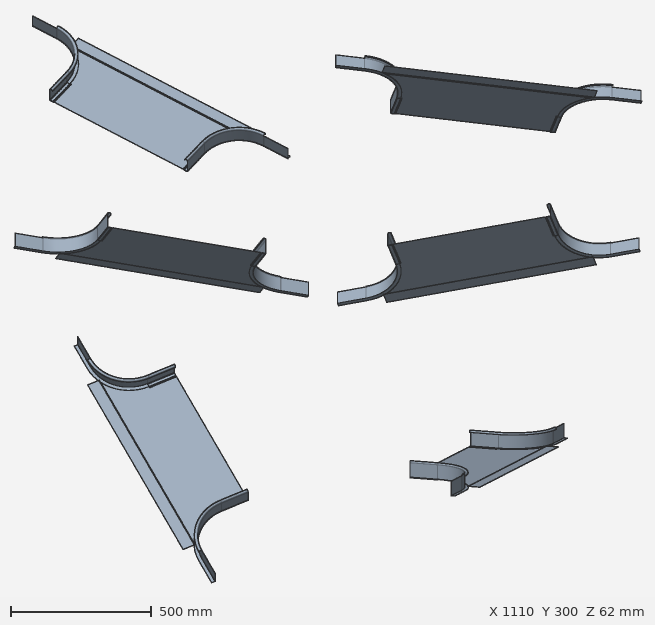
import cadquery as cq

TOTAL_LENGTH = 1110.0
TOTAL_DEPTH = 300.0
TOTAL_HEIGHT = 62.0
SHEET = 1.3
ARM_LENGTH = 105.0
BEND_RADIUS = 150.0
FLANGE_WIDTH = 14.0
LIP_RADIUS = 7.0
LIP_TAIL = 1.0
TONGUE_LENGTH = 771.0
STEP_RISE = 2.0
STEP_RUN = 3.0
RECESS_INSET = 2.0
RECESS_CLEARANCE = 2.0

FLOOR_Z = STEP_RISE
TONGUE_Z = FLOOR_Z + STEP_RISE
WALL_TOP = TOTAL_HEIGHT - LIP_RADIUS

RAIL_END_X = -TOTAL_LENGTH / 2
BEND_X = RAIL_END_X + ARM_LENGTH
FRONT_WALL_X = BEND_X + BEND_RADIUS
BACK_WALL_Y = ARM_LENGTH + BEND_RADIUS

FLANGE_EDGE_X = FRONT_WALL_X + FLANGE_WIDTH
FLANGE_EDGE_RADIUS = BEND_RADIUS + FLANGE_WIDTH
RECESS_SLOPE_X = FLANGE_EDGE_X + RECESS_CLEARANCE
FLOOR_EDGE_X = RECESS_SLOPE_X + STEP_RUN


def bend_path():
    """Foot of the left rail's outer wall face along its front arm and bend."""
    diagonal = BEND_RADIUS * 0.5**0.5
    return (
        cq.Workplane("XY")
        .moveTo(FRONT_WALL_X, 0)
        .lineTo(FRONT_WALL_X, ARM_LENGTH)
        .threePointArc((BEND_X + diagonal, ARM_LENGTH + diagonal), (BEND_X, BACK_WALL_Y))
    )


def rail_web():
    """Wall with an inward bottom flange, along the whole left rail."""
    wall_height = WALL_TOP - FLOOR_Z
    return (
        cq.Workplane("XZ", origin=(FRONT_WALL_X, 0, FLOOR_Z))
        .lineTo(FLANGE_WIDTH, 0)
        .lineTo(FLANGE_WIDTH, SHEET)
        .lineTo(SHEET, SHEET)
        .lineTo(SHEET, wall_height)
        .lineTo(0, wall_height)
        .close()
        .sweep(bend_path().lineTo(RAIL_END_X, BACK_WALL_Y))
    )


def rail_lip():
    """Half-round lip rolled inward over the wall, along the front arm and the bend."""
    width = 2 * LIP_RADIUS
    return (
        cq.Workplane("XZ", origin=(FRONT_WALL_X, 0, WALL_TOP))
        .threePointArc((LIP_RADIUS, LIP_RADIUS), (width, 0))
        .lineTo(width, -LIP_TAIL)
        .lineTo(width - SHEET, -LIP_TAIL)
        .lineTo(width - SHEET, 0)
        .threePointArc((LIP_RADIUS, LIP_RADIUS - SHEET), (SHEET, 0))
        .close()
        .sweep(bend_path())
    )


def side_rail(side):
    """Curved side rail: the left one for side -1, its mirror image for side 1."""
    rail = rail_web().union(rail_lip())
    return rail if side < 0 else rail.mirror("YZ")


def floor_with_tongue():
    """Floor sheet that steps up to the tongue along its back edge."""
    step_y = BACK_WALL_Y - STEP_RUN
    return (
        cq.Workplane("YZ", origin=(-TONGUE_LENGTH / 2, 0, 0))
        .moveTo(0, FLOOR_Z)
        .lineTo(step_y, FLOOR_Z)
        .lineTo(BACK_WALL_Y, TONGUE_Z)
        .lineTo(TOTAL_DEPTH, TONGUE_Z)
        .lineTo(TOTAL_DEPTH, TONGUE_Z + SHEET)
        .lineTo(BACK_WALL_Y, TONGUE_Z + SHEET)
        .lineTo(step_y, FLOOR_Z + SHEET)
        .lineTo(0, FLOOR_Z + SHEET)
        .close()
        .extrude(TONGUE_LENGTH)
    )


def left_rail_room():
    """Space the left rail takes out of the floor sheet, below the tongue."""
    front_arm = cq.Workplane("XY").box(
        FLOOR_EDGE_X - RAIL_END_X, ARM_LENGTH, TONGUE_Z, centered=False
    )
    bend = cq.Workplane("XY").circle(FLANGE_EDGE_RADIUS).extrude(TONGUE_Z)
    return front_arm.translate((RAIL_END_X, 0, 0)).union(bend.translate((BEND_X, ARM_LENGTH, 0)))


def left_recess():
    """Strip that steps down from the floor to pass under the left front flange."""
    free_edge_x = FRONT_WALL_X + RECESS_INSET
    return (
        cq.Workplane("XZ")
        .moveTo(free_edge_x, 0)
        .lineTo(RECESS_SLOPE_X, 0)
        .lineTo(FLOOR_EDGE_X, FLOOR_Z)
        .lineTo(FLOOR_EDGE_X, FLOOR_Z + SHEET)
        .lineTo(RECESS_SLOPE_X, SHEET)
        .lineTo(free_edge_x, SHEET)
        .close()
        .extrude(-ARM_LENGTH)
    )


def floor_sheet():
    """Floor with its tongue, fitted between the two rails."""
    room = left_rail_room()
    recess = left_recess()
    sheet = floor_with_tongue().cut(room).cut(room.mirror("YZ"))
    return sheet.union(recess).union(recess.mirror("YZ"))


floor = floor_sheet()
rails = [side_rail(side) for side in (-1, 1)]

result = cq.Compound.makeCompound([floor.val(), *[rail.val() for rail in rails]])